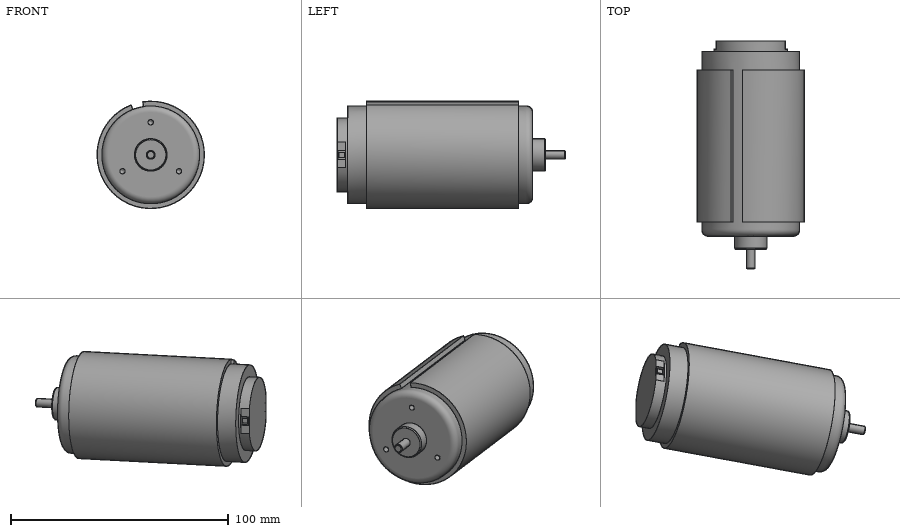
import cadquery as cq
import math


overall_length = 105.0

housing_diameter = 45.0
housing_length = 85.2
front_rounding = 2.9

boss_diameter = 15.0
boss_length = 6.0
boss_chamfer = 0.5
shaft_diameter = 4.0
shaft_length = 9.0
shaft_chamfer = 0.4

sleeve_diameter = 49.5
sleeve_start = 6.5
sleeve_length = 70.0
gap_middle_angle = 105.0
gap_angle = 12.8

mount_hole_count = 3
mount_hole_diameter = 2.4
mount_hole_depth = 4.2
mount_circle_radius = 15.0
drill_point_angle = 118.0

cap_diameter = 34.0
cap_length = overall_length - shaft_length - boss_length - housing_length
flat_length = 3.9
flat_distance = 16.0
window_height = 4.1
window_depth = 1.6
window_rim = 0.4
terminal_height = 2.2
terminal_length = 2.5
terminal_reach = 1.0

overlap = 1.0


def cylinder(diameter, start, length):
    """Cylinder on the Y axis running toward +Y from the given start."""
    axis_start = cq.Vector(0, start, 0)
    return cq.Workplane(obj=cq.Solid.makeCylinder(diameter / 2, length, axis_start, cq.Vector(0, 1, 0)))


def make_housing():
    return cylinder(housing_diameter, 0, housing_length).faces("<Y").edges().fillet(front_rounding)


def make_boss_and_shaft():
    boss = cylinder(boss_diameter, -boss_length, boss_length + overlap)
    boss = boss.faces("<Y").edges().chamfer(boss_chamfer)
    shaft = cylinder(shaft_diameter, -boss_length - shaft_length, shaft_length + overlap)
    shaft = shaft.faces("<Y").edges().chamfer(shaft_chamfer)
    return boss.union(shaft)


def make_sleeve():
    """Tube with a wedge removed, so that both edges of the split are radial."""
    sleeve = cylinder(sleeve_diameter, sleeve_start, sleeve_length)
    wedge_reach = sleeve_diameter
    corners = [(0, 0)]
    for side in (-1, 1):
        angle = math.radians(gap_middle_angle + side * gap_angle / 2)
        corners.append((wedge_reach * math.cos(angle), wedge_reach * math.sin(angle)))
    wedge = (
        cq.Workplane("XZ", origin=(0, sleeve_start - overlap, 0))
        .polyline(corners)
        .close()
        .extrude(-(sleeve_length + 2 * overlap))
    )
    return sleeve.cut(wedge)


def make_mount_holes():
    """Blind holes with conical bottoms, the first one straight above the axis."""
    radius = mount_hole_diameter / 2
    point_length = radius / math.tan(math.radians(drill_point_angle / 2))
    drill = (
        cq.Workplane("XY")
        .moveTo(0, -overlap)
        .lineTo(radius, -overlap)
        .lineTo(radius, mount_hole_depth)
        .lineTo(0, mount_hole_depth + point_length)
        .close()
        .revolve(360, (0, 0, 0), (0, 1, 0))
        .translate((0, 0, mount_circle_radius))
    )
    holes = drill
    for index in range(1, mount_hole_count):
        holes = holes.union(drill.rotate((0, 0, 0), (0, 1, 0), index * 360 / mount_hole_count))
    return holes


def make_cap():
    cap_start = housing_length - overlap
    cap_end = housing_length + cap_length
    flat_start = cap_end - flat_length
    window_length = flat_length - window_rim
    window_middle = flat_start + window_length / 2
    window_floor = flat_distance - window_depth
    cap = cylinder(cap_diameter, cap_start, cap_length + overlap)
    for side in (-1, 1):
        flat = (
            cq.Workplane("XY")
            .box(cap_diameter, flat_length + overlap, cap_diameter, centered=(True, False, True))
            .translate((side * (flat_distance + cap_diameter / 2), flat_start, 0))
        )
        window = (
            cq.Workplane("XY")
            .box(2 * window_depth, window_length, window_height)
            .translate((side * flat_distance, window_middle, 0))
        )
        terminal = (
            cq.Workplane("XY")
            .box(2 * terminal_reach, terminal_length, terminal_height)
            .translate((side * window_floor, window_middle, 0))
        )
        cap = cap.cut(flat).cut(window).union(terminal)
    return cap


result = make_sleeve().union(make_housing()).union(make_boss_and_shaft()).union(make_cap())
result = result.cut(make_mount_holes())